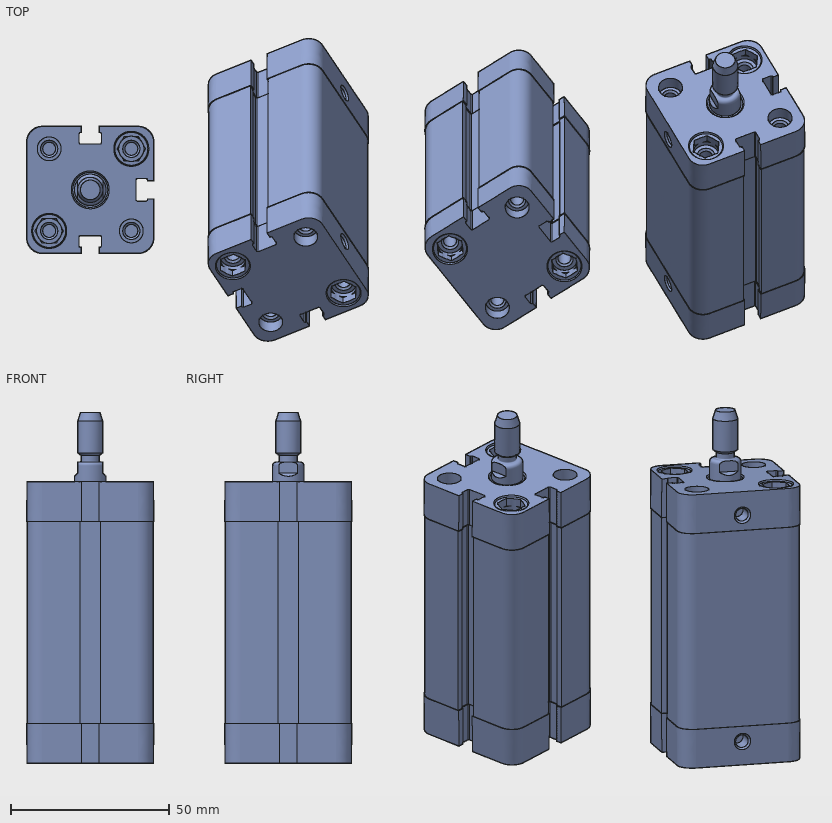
import cadquery as cq
import math

total_height = 111.0
rod_reach = 21.9
body_height = total_height - rod_reach

cap_height = 12.7
cap_width = 40.3
cap_end_width = 40.1
cap_corner_radius = 5.0
cap_draft = math.degrees(math.atan((cap_width - cap_end_width) / 2 / cap_height))

barrel_width = 40.0
barrel_corner_radius = 5.0
barrel_height = body_height - 2 * cap_height

slot_neck_width = 5.7
slot_inner_width = 7.1
slot_neck_depth = 1.9
slot_depth = 5.4
slot_chamfer = 0.3
barrel_slot_clearance = 0.3
slot_overrun = 1.1
slot_sides = (-90, 0, 90)

mount_pitch = 26.0
mount_hole_depth = 4.7
plain_hole_diameter = 7.5
socket_bore_diameter = 8.0
socket_hex_corners = 9.0
socket_hex_depth = 3.1
recess_diameter = 11.1
recess_floor_diameter = 10.4
recess_depth = 0.4

thread_core_diameter = 4.1
thread_mouth_diameter = 5.4
port_depth = 6.7
port_end_distance = 7.7

rod_diameter = 10.0
gland_diameter = 12.0
gland_floor_diameter = 11.1
gland_depth = 0.4
shoulder_height = 6.2
shoulder_fillet = 1.2
flat_width = 8.0
flat_bottom = 2.7
neck_diameter = 5.8
neck_fillet = 0.3
stud_bottom = 8.2
stud_diameter = 8.0
stud_lower_chamfer = 0.9
stud_tip_diameter = 6.2
stud_tip_height = 2.8


def rounded_square(width, corner_radius):
    return cq.Sketch().rect(width, width).vertices().fillet(corner_radius)


def t_slots(body_width, clearance, height):
    """Cutters for the T-slots, running the full height upwards from z = 0."""
    face = body_width / 2
    outside = face + slot_overrun
    neck = slot_neck_width / 2 + clearance
    inner = slot_inner_width / 2 + clearance
    neck_end = face - slot_neck_depth
    floor = face - slot_depth
    profile = (
        cq.Workplane("XY")
        .moveTo(outside, -neck)
        .lineTo(neck_end, -neck)
        .lineTo(neck_end, -inner + slot_chamfer)
        .lineTo(neck_end - slot_chamfer, -inner)
        .lineTo(floor + slot_chamfer, -inner)
        .lineTo(floor, -inner + slot_chamfer)
        .lineTo(floor, inner - slot_chamfer)
        .lineTo(floor + slot_chamfer, inner)
        .lineTo(neck_end - slot_chamfer, inner)
        .lineTo(neck_end, inner - slot_chamfer)
        .lineTo(neck_end, neck)
        .lineTo(outside, neck)
        .close()
        .extrude(height)
    )
    cutters = cq.Workplane("XY")
    for angle in slot_sides:
        cutters.add(profile.rotate((0, 0, 0), (0, 0, 1), angle))
    return cutters.combine()


def threaded_hole(depth):
    """Cutter with its chamfered mouth at z = 0, going down."""
    core = thread_core_diameter / 2
    mouth = thread_mouth_diameter / 2
    return (
        cq.Workplane("XZ")
        .polyline([(0, 0), (mouth, 0), (core, core - mouth), (core, -depth), (0, -depth)])
        .close()
        .revolve(360, (0, 0), (0, 1))
    )


def conical_recess(mouth_diameter, floor_diameter, depth):
    """Cutter with its mouth at z = 0, narrowing downwards to a flat floor."""
    mouth = mouth_diameter / 2
    floor = floor_diameter / 2
    return (
        cq.Workplane("XZ")
        .polyline([(0, 0), (mouth, 0), (floor, -depth), (0, -depth)])
        .close()
        .revolve(360, (0, 0), (0, 1))
    )


def end_cap():
    """Cap with its joint face at z = 0 and its free end up."""
    cap = cq.Workplane("XY").placeSketch(rounded_square(cap_width, cap_corner_radius))
    cap = cap.extrude(cap_height, taper=cap_draft)
    cap = cap.cut(t_slots(barrel_width, 0, cap_height))

    offset = mount_pitch / 2
    plain_corners = [(-offset, offset), (offset, -offset)]
    socket_corners = [(-offset, -offset), (offset, offset)]
    top = cq.Workplane("XY").workplane(offset=cap_height)

    cap = cap.cut(top.pushPoints(plain_corners).circle(plain_hole_diameter / 2).extrude(-mount_hole_depth))

    cap = cap.cut(top.pushPoints(socket_corners).circle(socket_bore_diameter / 2).extrude(-mount_hole_depth))
    cap = cap.cut(top.pushPoints(socket_corners).polygon(6, socket_hex_corners).extrude(-socket_hex_depth))
    recess = conical_recess(recess_diameter, recess_floor_diameter, recess_depth)
    for x, y in socket_corners:
        cap = cap.cut(recess.translate((x, y, cap_height)))

    floor = cap_height - mount_hole_depth
    for x, y in plain_corners + socket_corners:
        cap = cap.cut(threaded_hole(floor).translate((x, y, floor)))

    port_z = cap_height - port_end_distance
    port = threaded_hole(port_depth).rotate((0, 0, 0), (0, 1, 0), -90).translate((-cap_width / 2, 0, port_z))
    return cap.cut(port)


def make_lower_cap():
    return end_cap().mirror("XY").translate((0, 0, cap_height))


def make_barrel():
    barrel = cq.Workplane("XY").placeSketch(rounded_square(barrel_width, barrel_corner_radius))
    barrel = barrel.extrude(barrel_height)
    barrel = barrel.cut(t_slots(barrel_width, barrel_slot_clearance, barrel_height))
    return barrel.translate((0, 0, cap_height))


def make_upper_cap():
    gland = conical_recess(gland_diameter, gland_floor_diameter, gland_depth).translate((0, 0, cap_height))
    rod_bore = cq.Workplane("XY").circle(rod_diameter / 2).extrude(cap_height)
    cap = end_cap().cut(gland).cut(rod_bore)
    return cap.translate((0, 0, body_height - cap_height))


def make_rod():
    """Rod standing on the barrel, turned profile with two wrench flats on the X sides."""
    rod_radius = rod_diameter / 2
    neck = neck_diameter / 2
    stud = stud_diameter / 2
    tip = stud_tip_diameter / 2
    fillet_middle = shoulder_fillet * (1 - math.sqrt(0.5))
    profile = (
        cq.Workplane("XZ")
        .moveTo(0, -cap_height)
        .lineTo(rod_radius, -cap_height)
        .lineTo(rod_radius, shoulder_height - shoulder_fillet)
        .threePointArc(
            (rod_radius - fillet_middle, shoulder_height - fillet_middle),
            (rod_radius - shoulder_fillet, shoulder_height),
        )
        .lineTo(neck + neck_fillet, shoulder_height)
        .radiusArc((neck, shoulder_height + neck_fillet), neck_fillet)
        .lineTo(neck, stud_bottom)
        .lineTo(stud, stud_bottom + stud_lower_chamfer)
        .lineTo(stud, rod_reach - stud_tip_height)
        .lineTo(tip, rod_reach)
        .lineTo(0, rod_reach)
        .close()
    )
    rod = profile.revolve(360, (0, 0), (0, 1))

    flat = flat_width / 2
    runout = rod_radius
    flat_cut = (
        cq.Workplane("XZ")
        .polyline([
            (flat, shoulder_height),
            (flat, flat_bottom),
            (flat + runout, flat_bottom - runout),
            (flat + runout, shoulder_height),
        ])
        .close()
        .extrude(rod_radius, both=True)
    )
    rod = rod.cut(flat_cut).cut(flat_cut.mirror("YZ"))
    return rod.translate((0, 0, body_height))


lower_cap = make_lower_cap()
barrel = make_barrel()
upper_cap = make_upper_cap()
rod = make_rod()

result = cq.Compound.makeCompound([lower_cap.val(), barrel.val(), upper_cap.val(), rod.val()])